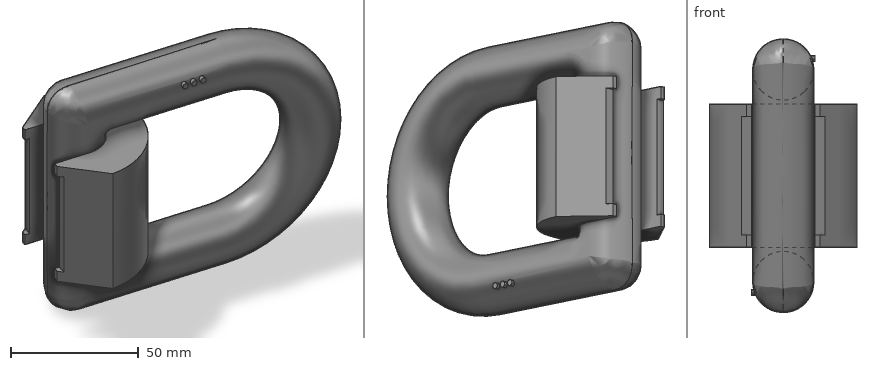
import cadquery as cq

rod_radius = 12.0
ring_half_height = 53.5
bow_center_y = 62.7
outer_corner_radius = 9.2
inner_gap_radius = 0.7

leg_z = ring_half_height - rod_radius
bend_radius = rod_radius + inner_gap_radius

stud_diameter = 2.4
stud_count = 3
stud_pitch = 4.0
first_stud_y = 42.6
stud_z = 45.8
stud_tip_x = 12.5
stud_root_x = 7.9

clamp_radius = 28.9
clamp_height = 56.0
clamp_base_y = -15.3
shoulder_y = 1.8
foot_half_width = 14.5
slot_half_width = 12.5
relief_height = 46.3
relief_depth = 2.1


def yz_box(y_low, y_high, z_low, z_high, half_width=ring_half_height):
    """Box centred on the YZ plane, between the given Y and Z limits."""
    return (
        cq.Workplane("YZ")
        .moveTo(y_low, z_low)
        .lineTo(y_high, z_low)
        .lineTo(y_high, z_high)
        .lineTo(y_low, z_high)
        .close()
        .extrude(half_width, both=True)
    )


def make_bow():
    """Half torus that joins the far ends of the two legs."""
    return (
        cq.Workplane("XZ", origin=(0, bow_center_y, 0))
        .center(0, -leg_z)
        .circle(rod_radius)
        .revolve(180, (-1.3, leg_z, 0), (1.3, leg_z, 0))
    )


def make_outer_corner(leg, bar):
    """Halves of the upper leg and bar that face out of the ring, meeting in a sharp mitre."""
    leg_half = leg.intersect(yz_box(0, bow_center_y, leg_z, ring_half_height))
    bar_half = bar.intersect(yz_box(-rod_radius, 0, 0, leg_z))
    corner = leg.intersect(bar).intersect(yz_box(-rod_radius, 0, leg_z, ring_half_height))
    return leg_half.union(bar_half).union(corner)


def make_inner_corner(leg, bar):
    """Halves of the upper leg and bar that face into the ring, with a bend-shaped filling between them."""
    filling = yz_box(0, bend_radius, leg_z - bend_radius, leg_z, rod_radius)
    hollow = (
        cq.Workplane("XY", origin=(0, bend_radius, leg_z - bend_radius))
        .moveTo(-rod_radius, 0)
        .lineTo(-rod_radius, -bend_radius)
        .threePointArc((0, -inner_gap_radius), (rod_radius, -bend_radius))
        .lineTo(rod_radius, 0)
        .close()
        .revolve(360, (-1.3, 0, 0), (1.3, 0, 0))
    )
    leg_half = leg.intersect(yz_box(bend_radius, bow_center_y, 0, leg_z))
    bar_half = bar.intersect(yz_box(0, rod_radius, 0, leg_z - bend_radius))
    return filling.cut(hollow).union(leg_half).union(bar_half)


def make_upper_half():
    """Upper leg and upper half of the bar, with the mitre between them rounded."""
    leg = (
        cq.Workplane("XZ", origin=(0, bow_center_y, leg_z))
        .circle(rod_radius)
        .extrude(bow_center_y + rod_radius)
    )
    bar = cq.Workplane("XY").circle(rod_radius).extrude(ring_half_height)
    upper_half = make_outer_corner(leg, bar).union(make_inner_corner(leg, bar))
    mitre_edge = cq.selectors.BoxSelector(
        (-rod_radius, -rod_radius, leg_z), (rod_radius, 0, ring_half_height)
    )
    return upper_half.edges(mitre_edge).fillet(outer_corner_radius)


def make_stud(side, stud_y):
    """Round stud on the +X flank of the upper leg (side 1) or the -X flank of the lower leg (side -1)."""
    return (
        cq.Workplane("YZ", origin=(side * stud_root_x, stud_y, side * stud_z))
        .circle(stud_diameter / 2)
        .extrude(side * (stud_tip_x - stud_root_x))
    )


def make_ring():
    """Bow, legs, bar and marking studs as one closed ring."""
    upper_half = make_upper_half()
    ring = make_bow().union(upper_half).union(upper_half.mirror("XY"))
    for side in (-1, 1):
        for index in range(stud_count):
            ring = ring.union(make_stud(side, first_stud_y + index * stud_pitch))
    return ring


def make_clamp():
    """Round-backed block with a slot for the bar and four feet at its base."""
    shoulder_x = (clamp_radius**2 - shoulder_y**2) ** 0.5
    bottom_z = -clamp_height / 2
    body = (
        cq.Workplane("XY", origin=(0, 0, bottom_z))
        .moveTo(-foot_half_width, clamp_base_y)
        .lineTo(-shoulder_x, shoulder_y)
        .threePointArc((0, clamp_radius), (shoulder_x, shoulder_y))
        .lineTo(foot_half_width, clamp_base_y)
        .close()
        .extrude(clamp_height)
    )
    slot = (
        cq.Workplane("XY", origin=(0, 0, bottom_z))
        .moveTo(-slot_half_width, clamp_base_y)
        .lineTo(-slot_half_width, 0)
        .threePointArc((0, slot_half_width), (slot_half_width, 0))
        .lineTo(slot_half_width, clamp_base_y)
        .close()
        .extrude(clamp_height)
    )
    relief = cq.Workplane("XY", origin=(0, clamp_base_y, 0)).box(
        2 * clamp_radius, 2 * relief_depth, relief_height
    )
    return body.cut(slot).cut(relief)


ring = make_ring()
clamp = make_clamp()
result = cq.Compound.makeCompound([*ring.solids().vals(), *clamp.solids().vals()])